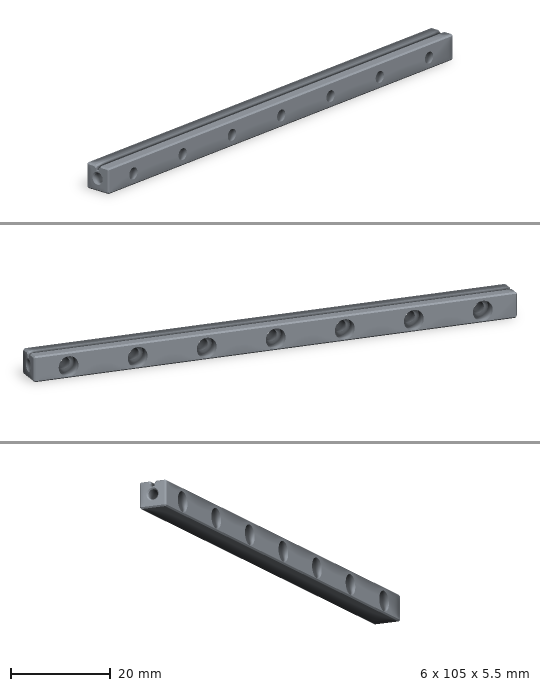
import cadquery as cq
import math

width = 6.0
length = 105.0
height = 5.5
edge_chamfer = 0.3

slot_width = 0.8
slot_depth = 1.15
groove_mouth_width = 1.5

mount_count = 7
mount_pitch = 15.0
mount_axis_height = 2.5
mount_diameter = 2.5
counterbore_diameter = 4.3
counterbore_depth = 2.5

end_bore_diameter = 2.13
end_bore_mouth_diameter = 2.7
end_bore_depth = 5.0
drill_point_angle = 118.0


def make_body():
    """Bar with chamfered edges; the groove mouth is included before the ends are chamfered."""
    bar = cq.Workplane("XY").box(width, length, height)
    bar = bar.edges("|Y").chamfer(edge_chamfer)
    bar = bar.cut(make_groove_mouth())
    return bar.faces("<Y or >Y").edges().chamfer(edge_chamfer)


def make_groove_mouth():
    """Full-length trapezoidal prism with 45 degree flanks, narrowing to the slot width."""
    top = height / 2
    flank_depth = (groove_mouth_width - slot_width) / 2
    outline = [
        (-groove_mouth_width / 2, top),
        (-slot_width / 2, top - flank_depth),
        (slot_width / 2, top - flank_depth),
        (groove_mouth_width / 2, top),
    ]
    return cq.Workplane("XZ", origin=(0, length / 2, 0)).polyline(outline).close().extrude(length)


def make_slot():
    slot = cq.Workplane("XY").box(slot_width, length, slot_depth)
    return slot.translate((0, 0, (height - slot_depth) / 2))


def make_mounting_holes():
    """Through holes along X, counterbored from the -X side."""
    first_y = -mount_pitch * (mount_count - 1) / 2
    axis_z = mount_axis_height - height / 2
    centres = [(first_y + i * mount_pitch, axis_z) for i in range(mount_count)]
    side = cq.Workplane("YZ", origin=(-width / 2, 0, 0)).pushPoints(centres)
    holes = side.circle(mount_diameter / 2).extrude(width)
    counterbores = side.circle(counterbore_diameter / 2).extrude(counterbore_depth)
    return holes.union(counterbores)


def make_end_bore():
    """Blind bore along Y at the -Y end, with a 45 degree mouth and a drill point."""
    radius = end_bore_diameter / 2
    mouth_radius = end_bore_mouth_diameter / 2
    mouth_y = -length / 2
    bottom_y = mouth_y + end_bore_depth
    tip_y = bottom_y + radius / math.tan(math.radians(drill_point_angle / 2))
    half_section = [
        (0, mouth_y),
        (mouth_radius, mouth_y),
        (radius, mouth_y + mouth_radius - radius),
        (radius, bottom_y),
        (0, tip_y),
    ]
    profile = cq.Workplane("XY").polyline(half_section).close()
    return profile.revolve(360, (0, 0, 0), (0, 1, 0))


end_bore = make_end_bore()
result = (
    make_body()
    .cut(make_slot())
    .cut(make_mounting_holes())
    .cut(end_bore)
    .cut(end_bore.mirror("XZ"))
)